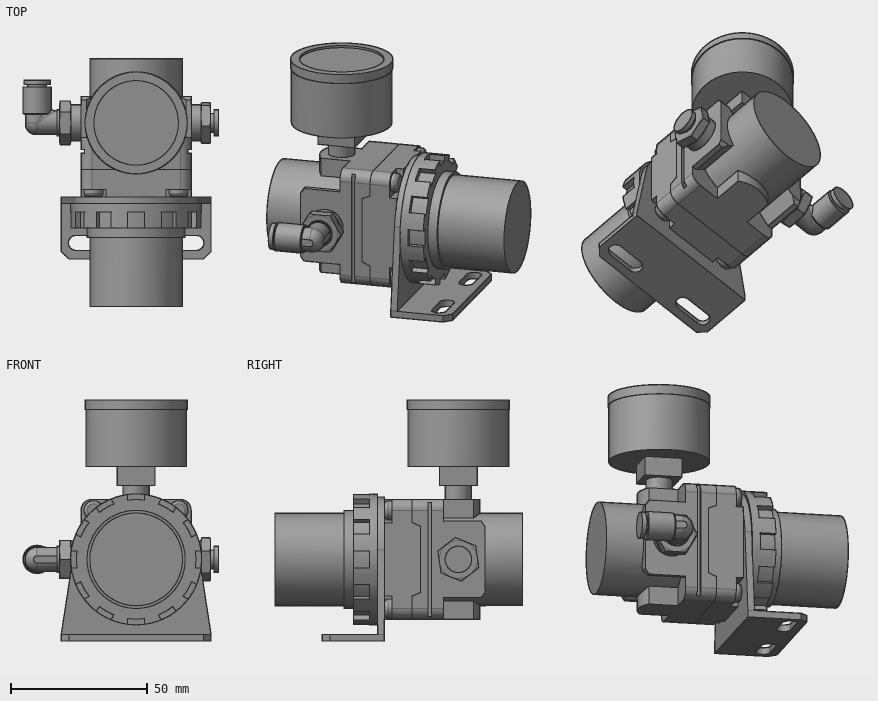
import cadquery as cq
import math


block_width = 40.4
block_height = 44.0
block_corner_radius = 4.0
block_rear_y = -5.4
block_front_y = -27.1
side_groove_depth = 1.2
side_groove_rear_y = -9.8
side_groove_front_y = -11.1

joint_y = -17.0
tongue_y = -13.9
tongue_half_height = 12.2
tongue_root_half_height = 13.5

rear_barrel_diameter = 34.0
rear_end_y = 23.6
pad_half_width = 7.6
pad_rear_y = 7.9
pad_side_rear_y = 5.6
cheek_half_height = 14.0
cheek_rim_width = 2.0
cheek_rear_y = 9.7
cheek_chamfer_y = 1.3
cheek_chamfer_z = 1.9
cheek_inner_x = 13.0

neck_diameter = 36.0
neck_front_y = -42.0
knob_diameter = 34.0
knob_front_y = -67.3
screw_pocket_depth = 2.7
screw_pocket_inner_x = 11.0
screw_pocket_inner_z = 13.4
screw_x = 15.6
screw_z = 18.0
screw_head_diameter = 7.0
screw_head_height = 2.6
screw_head_rounding = 1.2

bracket_thickness = 2.5
bracket_ring_radius = 23.0
foot_half_width = 27.5
foot_bottom_z = -30.0
foot_front_y = -49.9
foot_chamfer = 2.8
slot_width = 5.4
slot_length = 15.4
slot_outer_x = 24.8
slot_y = -44.0

nut_diameter = 48.0
nut_length = 8.9
notch_count = 12
notch_width = 6.2
notch_length = 5.9
notch_floor_diameter = 43.8

stem_diameter = 9.73
stem_length = 5.0
gauge_square = 14.0
gauge_square_height = 7.0
gauge_case_diameter = 37.0
gauge_case_height = 21.0
bezel_diameter = 37.5
bezel_height = 3.5
dial_diameter = 31.0
dial_depth = 0.8

port_boss_diameter = 13.4
hex_across_flats = 14.0
hex_chamfer_length = 0.25
release_ring_diameter = 9.7
release_neck_diameter = 7.0

left_boss_length = 3.75
left_hex_length = 4.1
elbow_collar_diameter = 9.73
elbow_collar_length = 0.9
elbow_diameter = 8.9
elbow_flat_offset = 4.25
elbow_inner_fillet = 2.2
elbow_sleeve_diameter = 10.38
sleeve_shoulder_length = 0.35
elbow_corner_x = -36.3
sleeve_start_y = 3.4
sleeve_end_y = 13.2
elbow_neck_length = 0.8
elbow_release_length = 1.65

right_boss_length = 3.6
right_hex_length = 3.5
right_hex_turn = 8.0
right_neck_length = 1.2
right_release_length = 1.7

half_width = block_width / 2
half_height = block_height / 2
nut_rear_y = block_front_y - bracket_thickness
foot_top_z = foot_bottom_z + bracket_thickness

to_right = (1, 0, 0)
to_left = (-1, 0, 0)
to_rear = (0, 1, 0)
to_front = (0, -1, 0)
upward = (0, 0, 1)


def rod(diameter, length, start, direction):
    """Cylinder from a start point along a direction."""
    solid = cq.Solid.makeCylinder(diameter / 2, length, cq.Vector(*start), cq.Vector(*direction))
    return cq.Workplane(obj=solid)


def box(x_min, x_max, y_min, y_max, z_min, z_max):
    """Axis-aligned box between two corners."""
    size = (x_max - x_min, y_max - y_min, z_max - z_min)
    return cq.Workplane().box(*size, centered=False).translate((x_min, y_min, z_min))


def block_slice(rear_y, front_y):
    """Slice of the regulator block with its four rounded long edges."""
    slab = box(-half_width, half_width, front_y, rear_y, -half_height, half_height)
    return slab.edges("|Y").fillet(block_corner_radius)


def bonnet_envelope():
    """Region in front of the stepped joint, across the full width of the block."""
    return (
        cq.Workplane("YZ")
        .polyline([
            (block_front_y, -half_height),
            (joint_y, -half_height),
            (joint_y, -tongue_root_half_height),
            (tongue_y, -tongue_half_height),
            (tongue_y, tongue_half_height),
            (joint_y, tongue_root_half_height),
            (joint_y, half_height),
            (block_front_y, half_height),
        ])
        .close()
        .extrude(half_width, both=True)
    )


def rear_pads():
    """Top and bottom pads with a bowed rear face; they carry the gauge port."""
    return (
        cq.Workplane("XY")
        .moveTo(-pad_half_width, block_rear_y)
        .lineTo(-pad_half_width, pad_side_rear_y)
        .threePointArc((0, pad_rear_y), (pad_half_width, pad_side_rear_y))
        .lineTo(pad_half_width, block_rear_y)
        .close()
        .extrude(half_height, both=True)
    )


def cheek():
    """Left cheek with the fitting port: a flat outer face, sloped inside down to the barrel."""
    rim_x = half_width - cheek_rim_width
    inner_half_height = cheek_half_height - (rim_x - cheek_inner_x)
    return (
        cq.Workplane("XZ", origin=(0, cheek_rear_y, 0))
        .polyline([
            (-half_width, -cheek_half_height),
            (-rim_x, -cheek_half_height),
            (-cheek_inner_x, -inner_half_height),
            (-cheek_inner_x, inner_half_height),
            (-rim_x, cheek_half_height),
            (-half_width, cheek_half_height),
        ])
        .close()
        .extrude(cheek_rear_y - block_rear_y)
        .intersect(cheek_side_outline())
    )


def cheek_side_outline():
    """Side outline of the cheeks with chamfered rear corners."""
    return (
        cq.Workplane("YZ")
        .polyline([
            (block_rear_y, -cheek_half_height),
            (cheek_rear_y - cheek_chamfer_y, -cheek_half_height),
            (cheek_rear_y, -cheek_half_height + cheek_chamfer_z),
            (cheek_rear_y, cheek_half_height - cheek_chamfer_z),
            (cheek_rear_y - cheek_chamfer_y, cheek_half_height),
            (block_rear_y, cheek_half_height),
        ])
        .close()
        .extrude(half_width, both=True)
    )


def make_body():
    block = block_slice(block_rear_y, block_front_y).cut(bonnet_envelope())
    barrel = rod(rear_barrel_diameter, rear_end_y - block_rear_y, (0, block_rear_y, 0), to_rear)
    body = block.union(barrel).union(rear_pads())
    body = body.union(cheek()).union(cheek().mirror("YZ"))
    groove = box(
        half_width - side_groove_depth, half_width,
        side_groove_front_y, side_groove_rear_y,
        -half_height, half_height,
    )
    return body.cut(groove).cut(groove.mirror("YZ"))


def screw_pocket(x_side, z_side):
    """Rectangular corner pocket that clears one screw head."""
    x_limits = sorted([x_side * screw_pocket_inner_x, x_side * half_width])
    z_limits = sorted([z_side * screw_pocket_inner_z, z_side * half_height])
    return box(*x_limits, block_front_y, block_front_y + screw_pocket_depth, *z_limits)


def screw_head(x_side, z_side):
    """Round-edged screw head standing on the floor of its pocket."""
    seat = (x_side * screw_x, block_front_y + screw_pocket_depth, z_side * screw_z)
    head = rod(screw_head_diameter, screw_head_height, seat, to_front)
    return head.faces("<Y").edges().fillet(screw_head_rounding)


def make_bonnet():
    bonnet = block_slice(tongue_y, block_front_y).intersect(bonnet_envelope())
    for x_side in (-1, 1):
        for z_side in (-1, 1):
            bonnet = bonnet.cut(screw_pocket(x_side, z_side)).union(screw_head(x_side, z_side))
    neck = rod(neck_diameter, block_front_y - neck_front_y, (0, block_front_y, 0), to_front)
    knob = rod(knob_diameter, neck_front_y - knob_front_y, (0, neck_front_y, 0), to_front)
    return bonnet.union(neck).union(knob)


def make_bracket():
    corner_distance = math.hypot(foot_half_width, foot_top_z)
    corner_angle = math.atan2(foot_top_z, foot_half_width)
    tangent_angle = corner_angle + math.acos(bracket_ring_radius / corner_distance)
    tangent_x = bracket_ring_radius * math.cos(tangent_angle)
    tangent_z = bracket_ring_radius * math.sin(tangent_angle)
    plate = (
        cq.Workplane("XZ", origin=(0, block_front_y, 0))
        .moveTo(-foot_half_width, foot_bottom_z)
        .lineTo(-foot_half_width, foot_top_z)
        .lineTo(-tangent_x, tangent_z)
        .threePointArc((0, bracket_ring_radius), (tangent_x, tangent_z))
        .lineTo(foot_half_width, foot_top_z)
        .lineTo(foot_half_width, foot_bottom_z)
        .close()
        .extrude(bracket_thickness)
    )
    foot = box(
        -foot_half_width, foot_half_width,
        foot_front_y, block_front_y,
        foot_bottom_z, foot_top_z,
    )
    foot = foot.edges("|Z and <Y").chamfer(foot_chamfer)
    slot_x = slot_outer_x - slot_length / 2
    slots = (
        cq.Workplane("XY", origin=(0, 0, foot_bottom_z))
        .pushPoints([(-slot_x, slot_y), (slot_x, slot_y)])
        .slot2D(slot_length, slot_width)
        .extrude(bracket_thickness)
    )
    neck_hole = rod(neck_diameter, bracket_thickness, (0, block_front_y, 0), to_front)
    return plate.union(foot).cut(slots).cut(neck_hole)


def make_ring_nut():
    rear = (0, nut_rear_y, 0)
    nut = rod(nut_diameter, nut_length, rear, to_front)
    front_y = nut_rear_y - nut_length
    half_notch = notch_width / 2
    notch = box(
        -half_notch, half_notch,
        front_y, front_y + notch_length,
        0, nut_diameter / 2,
    )
    notch = notch.cut(rod(notch_floor_diameter, nut_length, rear, to_front))
    for index in range(notch_count):
        nut = nut.cut(notch.rotate((0, 0, 0), to_rear, index * 360 / notch_count))
    return nut.cut(rod(neck_diameter, nut_length, rear, to_front))


def make_gauge():
    square_z = half_height + stem_length
    case_z = square_z + gauge_square_height
    bezel_z = case_z + gauge_case_height
    top_z = bezel_z + bezel_height
    half_square = gauge_square / 2
    square = box(-half_square, half_square, -half_square, half_square, square_z, case_z)
    stem = rod(stem_diameter, stem_length, (0, 0, half_height), upward)
    case = rod(gauge_case_diameter, gauge_case_height, (0, 0, case_z), upward)
    bezel = rod(bezel_diameter, bezel_height, (0, 0, bezel_z), upward)
    dial = rod(dial_diameter, dial_depth, (0, 0, top_z - dial_depth), upward)
    return stem.union(square).union(case).union(bezel).cut(dial)


def hexagon(start_x, length, turn):
    """Hexagon along +X with flats facing up and down at zero turn and chamfered corners."""
    across_corners = hex_across_flats / math.cos(math.radians(30))
    prism = (
        cq.Workplane("YZ", origin=(start_x, 0, 0))
        .polygon(6, across_corners)
        .extrude(length)
        .rotate((0, 0, 0), to_right, turn)
    )
    corner_height = (across_corners - hex_across_flats) / 2
    turned = (
        cq.Workplane("XY")
        .moveTo(start_x, 0)
        .lineTo(start_x, hex_across_flats / 2)
        .lineTo(start_x + hex_chamfer_length, hex_across_flats / 2 + corner_height)
        .lineTo(start_x + length - hex_chamfer_length, hex_across_flats / 2 + corner_height)
        .lineTo(start_x + length, hex_across_flats / 2)
        .lineTo(start_x + length, 0)
        .close()
        .revolve(360, (0, 0, 0), (1, 0, 0))
    )
    return prism.intersect(turned)


def elbow_bend(collar_x):
    """Right-angle bend: two round legs and a ball, filleted inside and flattened outside."""
    corner = (elbow_corner_x, 0, 0)
    radius = elbow_diameter / 2
    leg_length = collar_x - elbow_corner_x
    bend = rod(elbow_diameter, leg_length, corner, to_right)
    bend = bend.union(rod(elbow_diameter, leg_length, corner, to_rear))
    seam_box = cq.selectors.BoxSelector(
        (elbow_corner_x, 0, -radius),
        (elbow_corner_x + radius, radius, radius),
    )
    bend = bend.edges("%ELLIPSE").edges(seam_box).fillet(elbow_inner_fillet)
    bend = bend.union(cq.Workplane().sphere(radius).translate(corner))
    within_flats = box(
        elbow_corner_x - elbow_flat_offset, collar_x,
        -elbow_flat_offset, leg_length,
        -radius, radius,
    )
    return bend.intersect(within_flats)


def make_elbow_fitting():
    hex_x = -half_width - left_boss_length
    hex_end_x = hex_x - left_hex_length
    collar_x = hex_end_x - elbow_collar_length
    neck_end_y = sleeve_end_y + elbow_neck_length
    fitting = rod(port_boss_diameter, left_boss_length, (-half_width, 0, 0), to_left)
    fitting = fitting.union(hexagon(hex_end_x, left_hex_length, 0))
    fitting = fitting.union(rod(elbow_collar_diameter, elbow_collar_length, (hex_end_x, 0, 0), to_left))
    fitting = fitting.union(elbow_bend(collar_x))
    outlet_rings = [
        (elbow_collar_diameter, sleeve_start_y - sleeve_shoulder_length, sleeve_shoulder_length),
        (elbow_sleeve_diameter, sleeve_start_y, sleeve_end_y - sleeve_start_y),
        (release_neck_diameter, sleeve_end_y, elbow_neck_length),
        (release_ring_diameter, neck_end_y, elbow_release_length),
    ]
    for diameter, start_y, length in outlet_rings:
        fitting = fitting.union(rod(diameter, length, (elbow_corner_x, start_y, 0), to_rear))
    return fitting


def make_straight_fitting():
    hex_x = half_width + right_boss_length
    neck_x = hex_x + right_hex_length
    ring_x = neck_x + right_neck_length
    fitting = rod(port_boss_diameter, right_boss_length, (half_width, 0, 0), to_right)
    fitting = fitting.union(hexagon(hex_x, right_hex_length, 30 + right_hex_turn))
    fitting = fitting.union(rod(release_neck_diameter, right_neck_length, (neck_x, 0, 0), to_right))
    return fitting.union(rod(release_ring_diameter, right_release_length, (ring_x, 0, 0), to_right))


body = make_body()
bonnet = make_bonnet()
bracket = make_bracket()
ring_nut = make_ring_nut()
gauge = make_gauge()
elbow_fitting = make_elbow_fitting()
straight_fitting = make_straight_fitting()

result = cq.Compound.makeCompound([
    body.val(),
    bonnet.val(),
    bracket.val(),
    ring_nut.val(),
    gauge.val(),
    elbow_fitting.val(),
    straight_fitting.val(),
])